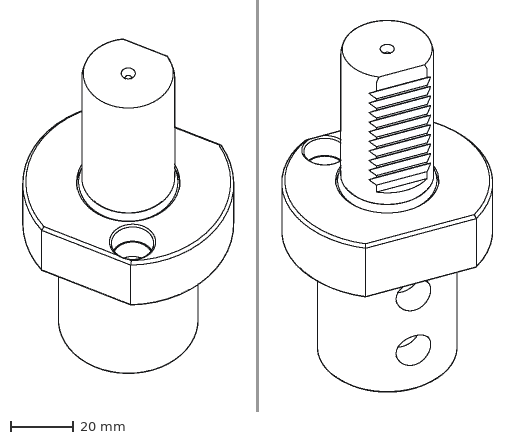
import cadquery as cq
import math

TOTAL_HEIGHT = 126.0
SHANK_LENGTH = 54.8
FLANGE_HEIGHT = 22.2
FLANGE_TOP = TOTAL_HEIGHT - SHANK_LENGTH
FLANGE_BOTTOM = FLANGE_TOP - FLANGE_HEIGHT

BODY_RADIUS = 22.5
BODY_CHAMFER = 1.5
BODY_ROOT_FILLET = 1.0
ROOT_BOX_MARGIN = 0.1

FLANGE_RADIUS = 34.0
FRONT_FLAT = 30.0
BACK_FLAT = 28.0
FLANGE_CHAMFER = 1.0

SHANK_RADIUS = 15.0
SHANK_TIP_HEIGHT = 2.0
SHANK_TIP_INSET = 0.5
SHANK_FLAT = 12.1
FLAT_START = 78.2
TOOTH_COUNT = 10
TOOTH_DEPTH = 1.6
FIRST_NOTCH = 82.8
LAST_NOTCH = 118.8
TOOTH_PITCH = (LAST_NOTCH - FIRST_NOTCH) / (TOOTH_COUNT - 1)
CUTTER_CLEARANCE = 1.3

NECK_START = FLANGE_TOP + 2.3
NECK_INSET = 1.0
RING_TUBE_RADIUS = 1.6
RING_RADIUS = 14.4
GROOVE_RADIUS = 16.6
GROOVE_DEPTH = 1.9

DRILL_POINT_ANGLE = 118.0
PIN_HOLE_RADIUS = 6.4
PIN_HOLE_DEPTH = 15.1
PIN_SEAT_RADIUS = 6.8
PIN_SEAT_DEPTH = 7.8
PIN_SEAT_CHAMFER = 0.6
PIN_CIRCLE_RADIUS = 25.2
PIN_HOLE_ANGLE = -60.0
CENTRE_HOLE_RADIUS = 1.0
CENTRE_MOUTH_RADIUS = 2.3
CENTRE_CONE_ANGLE = 60.0
CENTRE_HOLE_DEPTH = 4.5
SCREW_HOLE_RADIUS = 6.0
SCREW_HOLE_DEPTH = 10.1
SCREW_HOLE_HEIGHTS = (17.3, 40.1)


def cylinder(radius, bottom, height):
    return cq.Workplane("XY").workplane(offset=bottom).circle(radius).extrude(height)


def turned(points):
    """Revolve a closed (radius, height) outline about the Z axis."""
    return cq.Workplane("XZ").polyline(points).close().revolve(360, (0, 0), (0, 1))


def drill_point_height(radius):
    return radius / math.tan(math.radians(DRILL_POINT_ANGLE / 2))


def make_flange():
    disc = cylinder(FLANGE_RADIUS, FLANGE_BOTTOM, FLANGE_HEIGHT)
    flats = (
        cq.Workplane("XY")
        .workplane(offset=FLANGE_BOTTOM)
        .center(0, (BACK_FLAT - FRONT_FLAT) / 2)
        .rect(2 * FLANGE_RADIUS, BACK_FLAT + FRONT_FLAT)
        .extrude(FLANGE_HEIGHT)
    )
    return disc.intersect(flats).faces("<Z or >Z").chamfer(FLANGE_CHAMFER)


def make_body():
    return cylinder(BODY_RADIUS, 0, FLANGE_BOTTOM).faces("<Z").chamfer(BODY_CHAMFER)


def root_box():
    """Opposite corners of a thin box that encloses only the circle where body meets flange."""
    reach = BODY_RADIUS + ROOT_BOX_MARGIN
    return (
        (-reach, -reach, FLANGE_BOTTOM - ROOT_BOX_MARGIN),
        (reach, reach, FLANGE_BOTTOM + ROOT_BOX_MARGIN),
    )


def make_shank():
    neck_radius = SHANK_RADIUS - NECK_INSET
    shank = turned([
        (0, FLANGE_BOTTOM),
        (neck_radius, FLANGE_BOTTOM),
        (neck_radius, NECK_START - NECK_INSET),
        (SHANK_RADIUS, NECK_START),
        (SHANK_RADIUS, TOTAL_HEIGHT - SHANK_TIP_HEIGHT),
        (SHANK_RADIUS - SHANK_TIP_INSET, TOTAL_HEIGHT),
        (0, TOTAL_HEIGHT),
    ])
    return shank.cut(make_toothed_flat_cutter())


def make_toothed_flat_cutter():
    """Material removed behind the flat, with a row of right-angled V notches."""
    outer = SHANK_RADIUS + CUTTER_CLEARANCE
    outline = cq.Workplane("YZ").workplane(offset=-SHANK_RADIUS)
    outline = outline.moveTo(outer, FLAT_START).lineTo(SHANK_FLAT, FLAT_START)
    for index in range(TOOTH_COUNT):
        notch = FIRST_NOTCH + index * TOOTH_PITCH
        outline = (
            outline.lineTo(SHANK_FLAT, notch - TOOTH_DEPTH)
            .lineTo(SHANK_FLAT - TOOTH_DEPTH, notch)
            .lineTo(SHANK_FLAT, notch + TOOTH_DEPTH)
        )
    outline = outline.lineTo(SHANK_FLAT, TOTAL_HEIGHT).lineTo(outer, TOTAL_HEIGHT).close()
    return outline.extrude(2 * SHANK_RADIUS)


def make_ring():
    return (
        cq.Workplane("XZ")
        .center(RING_RADIUS, FLANGE_TOP)
        .circle(RING_TUBE_RADIUS)
        .revolve(360, (-RING_RADIUS, 0), (-RING_RADIUS, 1))
    )


def make_pin_hole():
    """Blind hole with a slightly wider, chamfered seat at its mouth."""
    seat_floor = FLANGE_TOP - PIN_SEAT_DEPTH
    floor = FLANGE_TOP - PIN_HOLE_DEPTH
    hole = turned([
        (0, FLANGE_TOP),
        (PIN_SEAT_RADIUS + PIN_SEAT_CHAMFER, FLANGE_TOP),
        (PIN_SEAT_RADIUS, FLANGE_TOP - PIN_SEAT_CHAMFER),
        (PIN_SEAT_RADIUS, seat_floor),
        (PIN_HOLE_RADIUS, seat_floor),
        (PIN_HOLE_RADIUS, floor),
        (0, floor - drill_point_height(PIN_HOLE_RADIUS)),
    ])
    angle = math.radians(PIN_HOLE_ANGLE)
    return hole.translate((PIN_CIRCLE_RADIUS * math.cos(angle), PIN_CIRCLE_RADIUS * math.sin(angle), 0))


def make_centre_hole():
    cone_inset = CENTRE_MOUTH_RADIUS - CENTRE_HOLE_RADIUS
    cone_height = cone_inset / math.tan(math.radians(CENTRE_CONE_ANGLE / 2))
    floor = TOTAL_HEIGHT - CENTRE_HOLE_DEPTH
    return turned([
        (0, TOTAL_HEIGHT),
        (CENTRE_MOUTH_RADIUS, TOTAL_HEIGHT),
        (CENTRE_HOLE_RADIUS, TOTAL_HEIGHT - cone_height),
        (CENTRE_HOLE_RADIUS, floor),
        (0, floor - drill_point_height(CENTRE_HOLE_RADIUS)),
    ])


def make_screw_hole(height):
    """Radial blind hole entering the body from its back (+Y) side."""
    hole = cq.Workplane("XZ", origin=(0, BODY_RADIUS, height))
    return hole.circle(SCREW_HOLE_RADIUS).extrude(SCREW_HOLE_DEPTH)


result = make_body().union(make_flange())
root_edge = result.edges(cq.selectors.BoxSelector(*root_box(), boundingbox=True))
result = root_edge.fillet(BODY_ROOT_FILLET)

result = result.cut(cylinder(GROOVE_RADIUS, FLANGE_TOP - GROOVE_DEPTH, GROOVE_DEPTH))
result = result.union(make_shank()).union(make_ring())

result = result.cut(make_pin_hole()).cut(make_centre_hole())
for screw_height in SCREW_HOLE_HEIGHTS:
    result = result.cut(make_screw_hole(screw_height))